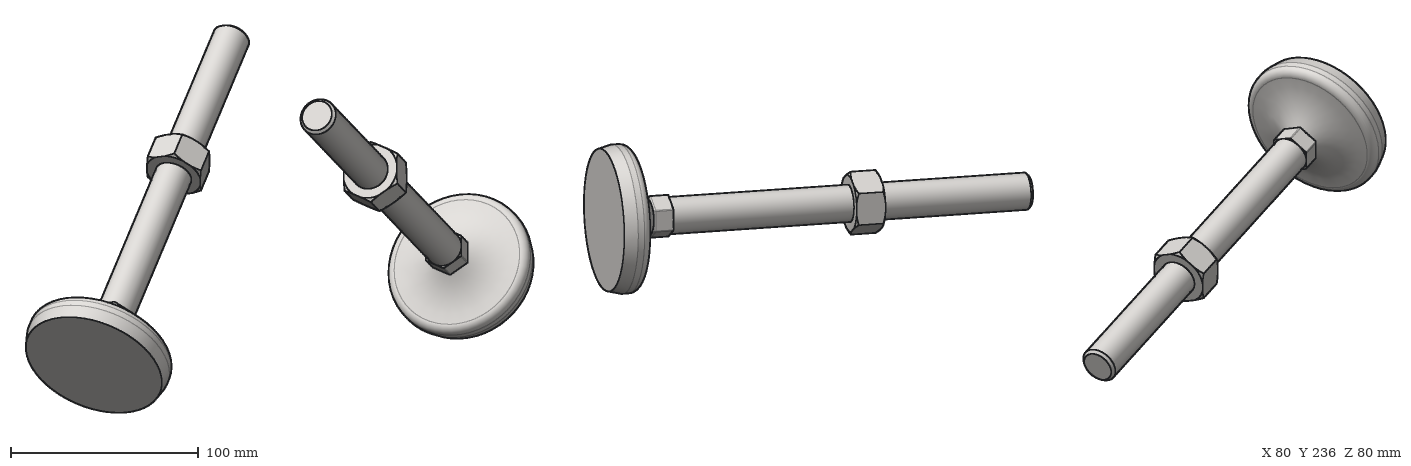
import cadquery as cq
import math

total_length = 236.0

foot_radius = 80.0 / 2
underside_radius = 38.2
taper_height = 7.0
rim_height = 10.6
shoulder_round = 4.5
shoulder_height = rim_height + shoulder_round
shoulder_radius = foot_radius - shoulder_round
crown_radius = 9.0
crown_height = 25.0
flank_mid_radius = 18.5
flank_mid_height = 19.4

spindle_diameter = 20.0
tip_chamfer = 1.7
hex_start = crown_height
hex_end = 35.6
hex_across_flats = 20.0
hex_edge_round = 0.7

nut_start = 136.0
nut_height = 16.0
nut_across_flats = 30.0
nut_face_diameter = 30.5
nut_chamfer_angle = 30.0


def along_y(start):
    """Workplane at Y = start whose normal points along +Y and whose local Y is Z."""
    return cq.Workplane(cq.Plane(origin=(0, start, 0), xDir=(-1, 0, 0), normal=(0, 1, 0)))


def cylinder(diameter, start, end):
    return along_y(start).circle(diameter / 2).extrude(end - start)


def hexagon(across_flats, start, end):
    """Hexagonal prism with flats facing X and corners pointing along Z."""
    across_corners = across_flats / math.cos(math.pi / 6)
    prism = along_y(start).polygon(6, across_corners).extrude(end - start)
    return prism.rotate((0, 0, 0), (0, 1, 0), 30)


def make_foot():
    corner_offset = shoulder_round * math.sqrt(0.5)
    shoulder_mid = (shoulder_radius + corner_offset, rim_height + corner_offset)
    profile = (
        cq.Workplane("XY")
        .lineTo(underside_radius, 0)
        .lineTo(foot_radius, taper_height)
        .lineTo(foot_radius, rim_height)
        .threePointArc(shoulder_mid, (shoulder_radius, shoulder_height))
        .threePointArc((flank_mid_radius, flank_mid_height), (crown_radius, crown_height))
        .lineTo(0, crown_height)
        .close()
    )
    return profile.revolve(360, (0, 0, 0), (0, 1, 0))


def make_spindle():
    rod = cylinder(spindle_diameter, hex_end, total_length).faces(">Y").chamfer(tip_chamfer)
    wrench_hex = hexagon(hex_across_flats, hex_start, hex_end)
    wrench_hex = wrench_hex.edges("|Y or <Y").fillet(hex_edge_round)
    return rod.union(wrench_hex)


def make_nut():
    nut_end = nut_start + nut_height
    corner_radius = nut_across_flats / math.cos(math.pi / 6) / 2
    face_radius = nut_face_diameter / 2
    chamfer_height = (corner_radius - face_radius) * math.tan(math.radians(nut_chamfer_angle))
    envelope = (
        cq.Workplane("XY")
        .moveTo(0, nut_start)
        .lineTo(face_radius, nut_start)
        .lineTo(corner_radius, nut_start + chamfer_height)
        .lineTo(corner_radius, nut_end - chamfer_height)
        .lineTo(face_radius, nut_end)
        .lineTo(0, nut_end)
        .close()
        .revolve(360, (0, 0, 0), (0, 1, 0))
    )
    return hexagon(nut_across_flats, nut_start, nut_end).intersect(envelope)


result = make_foot().union(make_spindle()).union(make_nut())